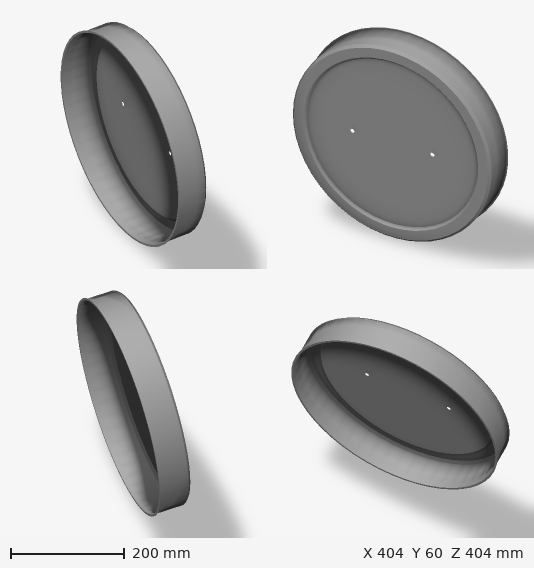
import cadquery as cq

sheet = 1.0
rim_radius = 202.0
wall_radius = 198.95
depth = 60.0
corner_bevel = 5.0
panel_radius = 169.5
panel_rise = 5.0
hole_diameter = 8.0
hole_spacing = 160.0

half_depth = depth / 2
rim_face = -half_depth
floor_back = half_depth
floor_front = floor_back - sheet
panel_foot_radius = panel_radius + panel_rise
inner_radius = wall_radius - sheet


def pan_body():
    """Revolve the sheet section (radius, Y) about the Y axis."""
    section = [
        (0, floor_front - panel_rise),
        (panel_radius, floor_front - panel_rise),
        (panel_foot_radius, floor_front),
        (inner_radius - corner_bevel, floor_front),
        (inner_radius, floor_front - corner_bevel),
        (inner_radius, rim_face),
        (rim_radius, rim_face),
        (rim_radius, rim_face + sheet),
        (wall_radius, rim_face + sheet),
        (wall_radius, floor_back - corner_bevel),
        (wall_radius - corner_bevel, floor_back),
        (panel_foot_radius, floor_back),
        (panel_radius, floor_back - panel_rise),
        (0, floor_back - panel_rise),
    ]
    return cq.Workplane("XY").polyline(section).close().revolve(360, (0, 0, 0), (0, 1, 0))


def mounting_holes():
    """Two through holes in the panel, spaced along X."""
    return (
        cq.Workplane("XZ", origin=(0, half_depth, 0))
        .pushPoints([(-hole_spacing / 2, 0), (hole_spacing / 2, 0)])
        .circle(hole_diameter / 2)
        .extrude(depth)
    )


result = pan_body().cut(mounting_holes())